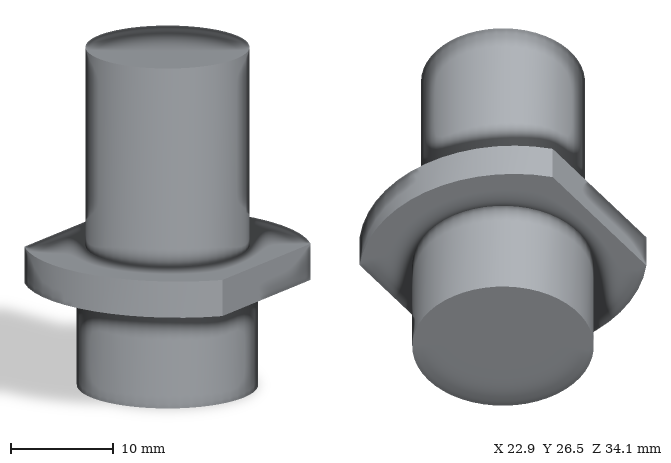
import cadquery as cq

total_height = 34.1
pin_diameter = 16.0
base_diameter = 17.7

flange_width = 22.9
flange_length = 26.5
flat_length = pin_diameter
flange_thickness = 3.65
base_height = 10.45

flange_top = base_height + flange_thickness
pin_height = total_height - flange_top


def make_cylinder(diameter, height, bottom):
    """Upright cylinder on the Z axis."""
    return cq.Workplane("XY").workplane(offset=bottom).circle(diameter / 2).extrude(height)


def make_flange():
    """Plate with flat sides and an arc at each end."""
    half_width = flange_width / 2
    half_length = flange_length / 2
    half_flat = flat_length / 2
    return (
        cq.Workplane("XY")
        .workplane(offset=base_height)
        .moveTo(half_width, -half_flat)
        .lineTo(half_width, half_flat)
        .threePointArc((0, half_length), (-half_width, half_flat))
        .lineTo(-half_width, -half_flat)
        .threePointArc((0, -half_length), (half_width, -half_flat))
        .close()
        .extrude(flange_thickness)
    )


base = make_cylinder(base_diameter, base_height, 0)
pin = make_cylinder(pin_diameter, pin_height, flange_top)
result = base.union(make_flange()).union(pin)